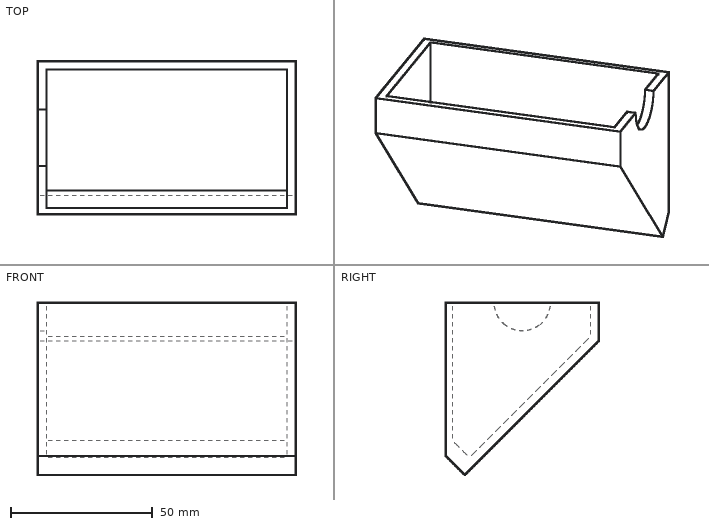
import cadquery as cq

length = 90.9
depth = 54.0
back_height = 13.5
foot_bevel = depth / 8
front_height = depth
height = front_height + foot_bevel

end_wall = 3.15
front_wall = 2.35
back_wall = 3.0
floor_start_depth = 12.0
valley_offset = 8.4

notch_radius = 10.0

front_y = -depth / 2
back_y = depth / 2


def prism(profile, prism_length):
    """Extrude a closed (Y, Z) profile along X, centered on X = 0."""
    return cq.Workplane("YZ").polyline(profile).close().extrude(prism_length / 2, both=True)


def make_body():
    """Solid body with its rim at Z = 0."""
    profile = [
        (front_y, 0),
        (back_y, 0),
        (back_y, -back_height),
        (front_y + foot_bevel, -height),
        (front_y, -front_height),
    ]
    return prism(profile, length)


def make_cavity():
    inner_front_y = front_y + front_wall
    inner_back_y = back_y - back_wall
    valley_y = front_y + valley_offset
    valley_depth = floor_start_depth + inner_back_y - valley_y
    inner_front_depth = valley_depth - (valley_y - inner_front_y)
    profile = [
        (inner_front_y, 0),
        (inner_back_y, 0),
        (inner_back_y, -floor_start_depth),
        (valley_y, -valley_depth),
        (inner_front_y, -inner_front_depth),
    ]
    return prism(profile, length - 2 * end_wall)


def make_finger_notch():
    """Sphere centered in the thickness of the -X wall, level with the rim."""
    mid_wall_x = -length / 2 + end_wall / 2
    return cq.Workplane(origin=(mid_wall_x, 0, 0)).sphere(notch_radius)


result = make_body().cut(make_cavity()).cut(make_finger_notch())